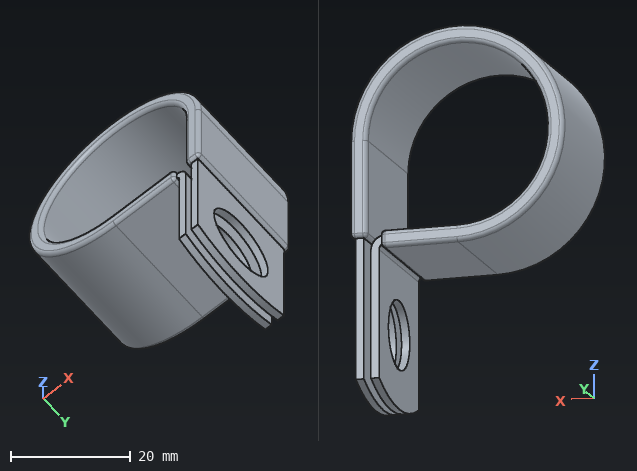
import cadquery as cq
import math


total_height = 62.3
loop_diameter = 37.3
cushion_width = 23.8
cushion_cover = 0.75
strap_thickness = 1.45
leg_gap = 1.25
cushion_arm_end_x = 13.35
cushion_leg_end_z = -16.7
inner_bend_radius = 1.0
inner_hole_diameter = 11.9
outer_hole_diameter = 13.95
hole_to_tip = 12.8
tip_sagitta = 2.6

outer_radius = loop_diameter / 2
cushion_thickness = strap_thickness + 2 * cushion_cover
mid_radius = outer_radius - cushion_thickness / 2
strap_width = cushion_width - 2 * cushion_cover
tip_z = outer_radius - total_height
corner_z = tip_z + tip_sagitta
hole_z = tip_z + hole_to_tip
bend_mid_radius = inner_bend_radius + strap_thickness / 2
inner_leg_x = mid_radius - strap_thickness - leg_gap


def band(thickness, width, arm_end_x, leg_end_z):
    """Three-quarter ring with a flat lower arm and a straight leg, centred on Y."""
    outer = mid_radius + thickness / 2
    inner = mid_radius - thickness / 2
    diagonal = math.sqrt(0.5)
    return (
        cq.Workplane("XZ")
        .moveTo(outer, leg_end_z)
        .lineTo(outer, 0)
        .threePointArc((-outer * diagonal, outer * diagonal), (0, -outer))
        .lineTo(arm_end_x, -outer)
        .lineTo(arm_end_x, -inner)
        .lineTo(0, -inner)
        .threePointArc((-inner * diagonal, inner * diagonal), (inner, 0))
        .lineTo(inner, leg_end_z)
        .close()
        .extrude(width / 2, both=True)
    )


def bent_leg():
    """Strap bend from the lower arm down into the inner leg."""
    bend_start_x = inner_leg_x - bend_mid_radius
    half = strap_thickness / 2
    bend_z = -mid_radius - bend_mid_radius
    outer_bend_radius = inner_bend_radius + strap_thickness
    return (
        cq.Workplane("XZ")
        .moveTo(bend_start_x, -mid_radius + half)
        .radiusArc((inner_leg_x + half, bend_z), outer_bend_radius)
        .lineTo(inner_leg_x + half, tip_z)
        .lineTo(inner_leg_x - half, tip_z)
        .lineTo(inner_leg_x - half, bend_z)
        .radiusArc((bend_start_x, -mid_radius - half), -inner_bend_radius)
        .close()
        .extrude(strap_width / 2, both=True)
    )


def strap_outline():
    """Strap silhouette along X: straight sides and curved tip."""
    half = strap_width / 2
    return (
        cq.Workplane("YZ")
        .moveTo(-half, outer_radius)
        .lineTo(-half, corner_z)
        .threePointArc((0, tip_z), (half, corner_z))
        .lineTo(half, outer_radius)
        .close()
        .extrude(outer_radius, both=True)
    )


def bolt_hole(leg_x, diameter):
    """Cutter for the bolt hole through one strap leg."""
    return (
        cq.Workplane("YZ", origin=(leg_x, 0, hole_z))
        .circle(diameter / 2)
        .extrude(strap_thickness / 2, both=True)
    )


cushion = band(cushion_thickness, cushion_width, cushion_arm_end_x, cushion_leg_end_z)
end_edges = cushion.edges(
    cq.selectors.BoxSelector(
        (cushion_arm_end_x / 2, -cushion_width, -loop_diameter),
        (loop_diameter, cushion_width, cushion_leg_end_z / 2),
    )
)
cushion = end_edges.add(cushion.faces("|Y").edges()).fillet(cushion_cover)

strap_loop = band(strap_thickness, strap_width, inner_leg_x - bend_mid_radius, tip_z)
strap = strap_loop.union(bent_leg()).intersect(strap_outline())
strap = strap.cut(bolt_hole(inner_leg_x, inner_hole_diameter))
strap = strap.cut(bolt_hole(mid_radius, outer_hole_diameter))

result = cushion.union(strap)